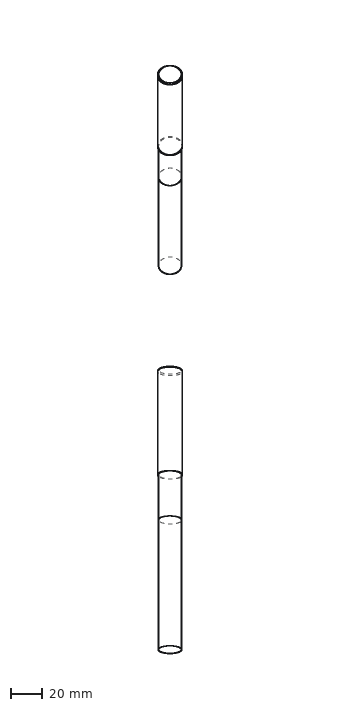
import cadquery as cq
import math

total_length = 193.0
shank_diameter = 16.0
shank_length = 71.2
shank_chamfer = 0.8
drill_diameter = 14.9
cutting_length = 91.0
point_angle = 140.0

shank_radius = shank_diameter / 2
drill_radius = drill_diameter / 2
point_height = drill_radius / math.tan(math.radians(point_angle / 2))
shank_start = total_length - shank_length


def make_cutting_part():
    """Cylindrical cutting part with a conical point."""
    profile = (
        cq.Workplane("XZ")
        .moveTo(0, 0)
        .lineTo(drill_radius, point_height)
        .lineTo(drill_radius, cutting_length)
        .lineTo(0, cutting_length)
        .close()
    )
    return profile.revolve(360, (0, 0, 0), (0, 1, 0))


def make_holder():
    """Plain neck that widens into a shank with a chamfered end."""
    neck = (
        cq.Workplane("XY")
        .workplane(offset=cutting_length)
        .circle(drill_radius)
        .extrude(shank_start - cutting_length)
    )
    shank = (
        cq.Workplane("XY")
        .workplane(offset=shank_start)
        .circle(shank_radius)
        .extrude(shank_length)
        .faces(">Z")
        .chamfer(shank_chamfer)
    )
    return neck.union(shank)


cutting_part = make_cutting_part()
holder = make_holder()

result = cq.Compound.makeCompound([cutting_part.val(), holder.val()])